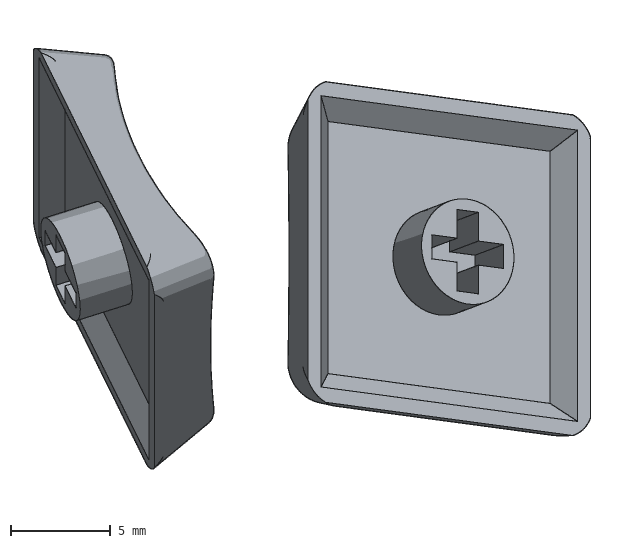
import cadquery as cq
import math

cap_width = 16.5
straight_band = 0.5
wall_taper = 16.2
corner_radius = 2.0
blank_height = 4.95

dish_floor = 2.06
dish_radius_across = 17.32
dish_radius_along = 70.95
dish_sweep = 20.0
top_edge_radius = 0.5

rim_width = 0.76
pocket_depth = 1.0
pocket_taper = 45.0

stem_diameter = 5.4
stem_overhang = 1.8
stem_length = stem_overhang + pocket_depth
cross_length = 4.19
cross_width = 1.24


def facing_back(rim_y):
    """Workplane at height rim_y whose normal points toward +Y."""
    return cq.Workplane("XZ", origin=(0, rim_y, 0)).transformed(rotate=(180, 0, 0))


def tapered_walls():
    """Drafted square block with rounded corners, full width at the top of the straight band."""
    rim_size = cap_width + 2 * straight_band * math.tan(math.radians(wall_taper))
    block = facing_back(0).rect(rim_size, rim_size).extrude(blank_height, taper=wall_taper)
    return block.edges("not(#Y)").fillet(corner_radius)


def dish_cutter():
    """Arc across X, revolved about a distant axis parallel to X."""
    half_span = cap_width / 2
    sagitta = dish_radius_across - math.sqrt(dish_radius_across**2 - half_span**2)
    axis_height = dish_floor + dish_radius_along
    side_height = dish_floor + sagitta
    profile = (
        cq.Workplane("XY")
        .moveTo(-half_span, side_height)
        .threePointArc((0, dish_floor), (half_span, side_height))
        .lineTo(half_span, side_height + blank_height)
        .lineTo(-half_span, side_height + blank_height)
        .close()
    )
    cutter = profile.revolve(dish_sweep, (0, axis_height, 0), (1, axis_height, 0))
    return cutter.rotate((0, axis_height, 0), (1, axis_height, 0), -dish_sweep / 2)


def cap_shell():
    """Dished cap with a softened top edge, a straight band at the rim and a hollow underside."""
    cap = tapered_walls().cut(dish_cutter())
    cap = cap.faces(">Y").edges().fillet(top_edge_radius)
    envelope = facing_back(0).rect(cap_width, cap_width).extrude(blank_height)
    pocket_size = cap_width - 2 * rim_width
    pocket = facing_back(0).rect(pocket_size, pocket_size).extrude(pocket_depth, taper=pocket_taper)
    return cap.intersect(envelope).cut(pocket)


def stem_post():
    """Round post standing on the pocket floor."""
    return facing_back(-stem_overhang).circle(stem_diameter / 2).extrude(stem_length)


def stem_socket():
    """Cross-shaped socket running the whole length of the stem."""
    end = facing_back(-stem_overhang)
    wide_slot = end.rect(cross_length, cross_width).extrude(stem_length)
    tall_slot = end.rect(cross_width, cross_length).extrude(stem_length)
    return wide_slot.union(tall_slot)


result = cap_shell().union(stem_post()).cut(stem_socket())